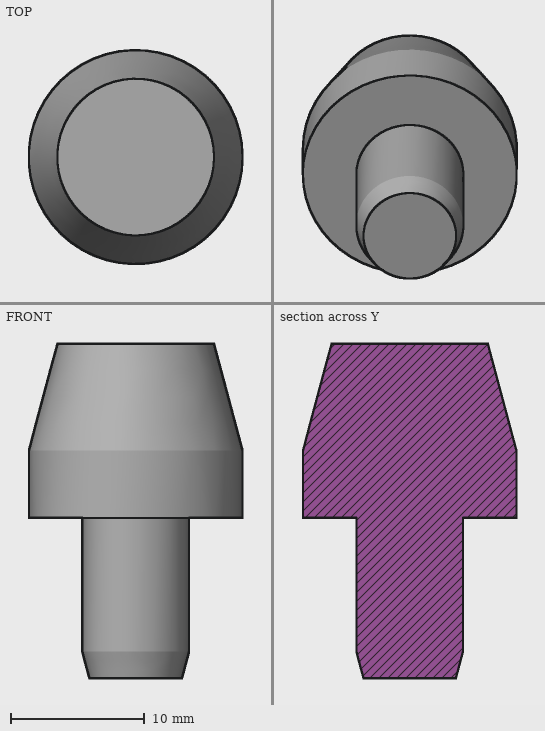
import cadquery as cq
import math

head_diameter = 16.0
pin_diameter = 8.0
taper_angle = 15.0
tip_height = 2.0
pin_height = 10.0
collar_height = 5.0
cone_height = 8.0

head_radius = head_diameter / 2
pin_radius = pin_diameter / 2
taper_slope = math.tan(math.radians(taper_angle))
top_radius = head_radius - cone_height * taper_slope
tip_radius = pin_radius - tip_height * taper_slope

pin_start = tip_height
collar_start = pin_start + pin_height
cone_start = collar_start + collar_height
top = cone_start + cone_height

result = (
    cq.Workplane("XZ")
    .moveTo(0, 0)
    .lineTo(tip_radius, 0)
    .lineTo(pin_radius, pin_start)
    .lineTo(pin_radius, collar_start)
    .lineTo(head_radius, collar_start)
    .lineTo(head_radius, cone_start)
    .lineTo(top_radius, top)
    .lineTo(0, top)
    .close()
    .revolve(360, (0, 0), (0, 1))
)